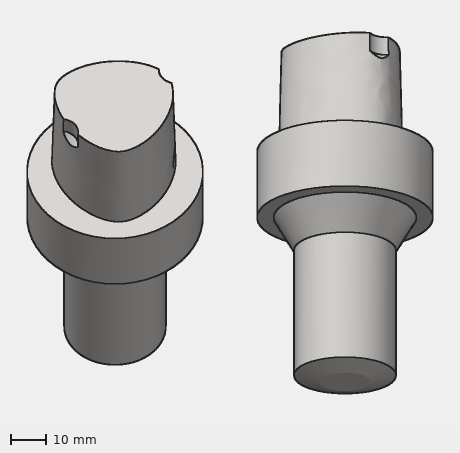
import cadquery as cq
import math

taper_height = 30.0
flange_height = 20.0
neck_height = 10.0
shank_length = 38.0
tip_height = 2.0

flange_radius = 50.0 / 2
shank_radius = 29.0 / 2
neck_angle = 30.0
neck_radius = shank_radius + neck_height * math.tan(math.radians(neck_angle))
tip_radius = 7.3

taper_base_radius = 17.6
taper_ratio = 1 / 20
taper_top_radius = taper_base_radius - taper_height * taper_ratio / 2
lobe_height = 1.25
lobe_count = 3
curve_points = 72

notch_radius = 5.0
notch_depth = 1.7
notch_wall_height = 5.4


def lobed_point(mean_radius, angle):
    """Point of the lobed outline whose outward normal has the given angle."""
    reach = mean_radius - lobe_height * math.sin(lobe_count * angle)
    reach_slope = -lobe_count * lobe_height * math.cos(lobe_count * angle)
    x = reach * math.cos(angle) - reach_slope * math.sin(angle)
    y = reach * math.sin(angle) + reach_slope * math.cos(angle)
    return x, y


def lobed_wire(mean_radius, z):
    points = []
    for i in range(curve_points):
        x, y = lobed_point(mean_radius, 2 * math.pi * i / curve_points)
        points.append(cq.Vector(x, y, z))
    return cq.Wire.assembleEdges([cq.Edge.makeSpline(points, periodic=True)])


def round_body():
    """Flange, conical neck, shank and blunt conical tip, turned about Z."""
    flange_bottom = -flange_height
    shank_top = flange_bottom - neck_height
    shank_bottom = shank_top - shank_length
    tip_bottom = shank_bottom - tip_height
    profile = (
        cq.Workplane("XZ")
        .moveTo(0, 0)
        .lineTo(flange_radius, 0)
        .lineTo(flange_radius, flange_bottom)
        .lineTo(neck_radius, flange_bottom)
        .lineTo(shank_radius, shank_top)
        .lineTo(shank_radius, shank_bottom)
        .lineTo(tip_radius, tip_bottom)
        .lineTo(0, tip_bottom)
        .close()
    )
    return profile.revolve(360, (0, 0, 0), (0, 1, 0))


def lobed_taper():
    base = lobed_wire(taper_base_radius, 0)
    top = lobed_wire(taper_top_radius, taper_height)
    return cq.Workplane(cq.Solid.makeLoft([base, top], True))


def notch_cutter(rim_angle):
    """Upright cylinder ending in a 45 degree point, reaching into the rim at the given angle."""
    x, rim_y = lobed_point(taper_top_radius, rim_angle)
    outward = math.copysign(1, rim_y)
    axis_y = rim_y + outward * (notch_radius - notch_depth)
    wall_bottom = taper_height - notch_wall_height
    return (
        cq.Workplane("XZ", origin=(x, axis_y, 0))
        .moveTo(0, taper_height)
        .lineTo(notch_radius, taper_height)
        .lineTo(notch_radius, wall_bottom)
        .lineTo(0, wall_bottom - notch_radius)
        .close()
        .revolve(360, (0, 0, 0), (0, 1, 0))
    )


result = round_body().union(lobed_taper())
for rim_angle in (math.pi / 2, -math.pi / 2):
    result = result.cut(notch_cutter(rim_angle))